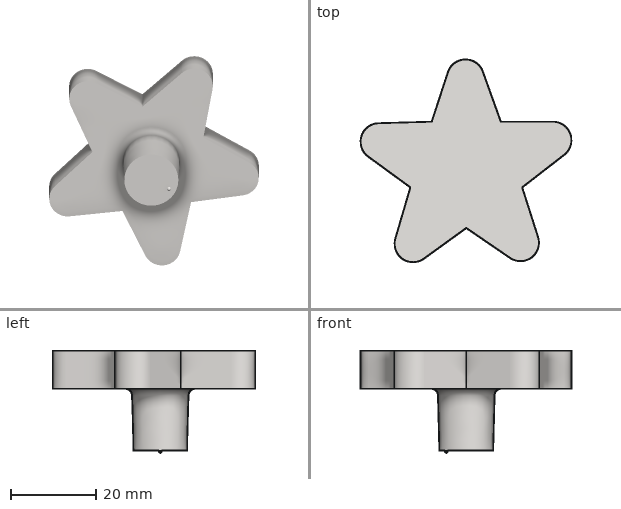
import cadquery as cq
import math

plate_thickness = 9.0
valley_radius = 13.84
valley_center_y = -0.5
tip_radius = 4.36
tip_centers = [
    (20.37, 6.33),
    (-0.19, 20.96),
    (-20.5, 5.98),
    (-12.51, -18.01),
    (12.74, -17.77),
]
arm_count = len(tip_centers)
arm_pitch = 360.0 / arm_count
first_valley_angle = -18.0

stem_length = 14.5
stem_top_radius = 6.73
stem_draft = 1.5
stem_fillet = 1.5
stem_end_radius = stem_top_radius - stem_length * math.tan(math.radians(stem_draft))

nib_height = 0.6
nib_base_radius = 0.5
nib_x = -4.7


def valley_point(index):
    """Inner corner of the star that comes just before the given arm."""
    angle = math.radians(first_valley_angle + index * arm_pitch)
    x = valley_radius * math.cos(angle)
    y = valley_center_y + valley_radius * math.sin(angle)
    return x, y


def point_on_tip(center, angle):
    x = center[0] + tip_radius * math.cos(angle)
    y = center[1] + tip_radius * math.sin(angle)
    return x, y


def tangent_angle(center, valley, side):
    """Angle on the tip circle where the line from the valley touches it."""
    dx = valley[0] - center[0]
    dy = valley[1] - center[1]
    return math.atan2(dy, dx) + side * math.acos(tip_radius / math.hypot(dx, dy))


def make_plate():
    outline = cq.Workplane("XY").moveTo(*valley_point(0))
    for index, center in enumerate(tip_centers):
        next_valley = valley_point(index + 1)
        arc_start = tangent_angle(center, valley_point(index), 1)
        arc_end = tangent_angle(center, next_valley, -1)
        arc_sweep = (arc_end - arc_start) % (2 * math.pi)
        arc_middle = arc_start + arc_sweep / 2
        outline = outline.lineTo(*point_on_tip(center, arc_start))
        outline = outline.threePointArc(
            point_on_tip(center, arc_middle),
            point_on_tip(center, arc_end),
        )
        if index < arm_count - 1:
            outline = outline.lineTo(*next_valley)
    return outline.close().extrude(plate_thickness)


def make_stem():
    stem = cq.Solid.makeCone(
        stem_top_radius,
        stem_end_radius,
        stem_length,
        pnt=cq.Vector(0, 0, 0),
        dir=cq.Vector(0, 0, -1),
    )
    return cq.Workplane(stem)


def fillet_stem_root(body):
    """Round the circle where the stem meets the plate underside."""
    near_root = cq.selectors.BoxSelector(
        (-stem_top_radius, -stem_top_radius, -stem_fillet),
        (stem_top_radius, stem_top_radius, stem_fillet),
    )
    return body.edges("%CIRCLE").edges(near_root).fillet(stem_fillet)


def make_nib():
    nib = cq.Solid.makeCone(
        nib_base_radius,
        0,
        nib_height,
        pnt=cq.Vector(nib_x, 0, -stem_length),
        dir=cq.Vector(0, 0, -1),
    )
    return cq.Workplane(nib)


body = fillet_stem_root(make_plate().union(make_stem()))
result = body.union(make_nib())